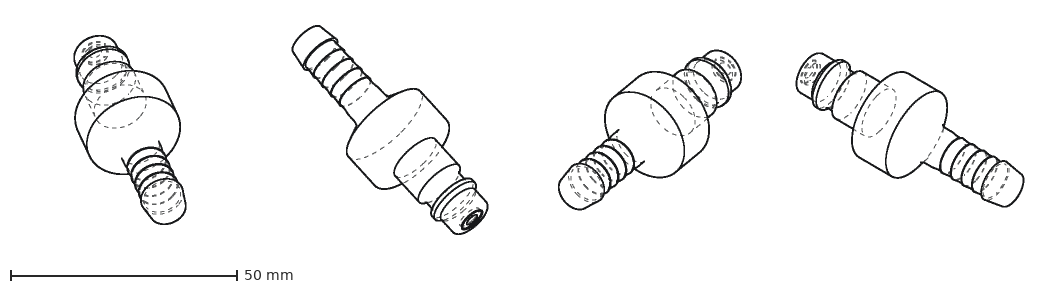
import cadquery as cq
import math

length = 58.0

plug_radius = 10.0 / 2
nose_fillet = 1.0
ridge_radius = 12.0 / 2
ridge_start = 4.95
ridge_top_start = ridge_start + ridge_radius - plug_radius
ridge_top_end = 7.0
neck_radius = 9.75 / 2
shoulder_start = 11.5
cove_width = ridge_radius - neck_radius
cove_radius = 1.5

collar_radius = 21.5 / 2
collar_front = 19.95
collar_face_dish = 0.7
collar_fillet = 1.0
hose_radius = 9.0 / 2
hose_fillet = 3.0
back_cone_angle = math.radians(60)

hose_start = 36.1
barb_start = 38.0
barb_pitch = 3.0
barb_count = 5
barb_taper_length = 1.55
barb_root_radius = 8.5 / 2
tip_radius = 9.75 / 2
tip_end_radius = 8.25 / 2
tip_fillet = 0.3

pin_radius = 5.45 / 2
pin_bore_radius = 5.6 / 2
pin_bore_chamfer_radius = 6.0 / 2
pin_gap_depth = 1.0
dimple_radius = 3.0 / 2
dimple_depth = 0.85

fillet_start = hose_start - hose_fillet * math.sin(back_cone_angle)
fillet_top_radius = hose_radius + hose_fillet * (1 - math.cos(back_cone_angle))
collar_back = fillet_start - (collar_radius - fillet_top_radius) / math.tan(back_cone_angle)
half_angle = back_cone_angle / 2
fillet_middle = (
    hose_start - hose_fillet * math.sin(half_angle),
    hose_radius + hose_fillet * (1 - math.cos(half_angle)),
)


def turned_body():
    """Revolve the half profile, held as (X, radius) points, about the X axis."""
    front_cove_end = ridge_top_end + cove_width
    rear_cove_start = shoulder_start - cove_width
    profile = (
        cq.Workplane("XY")
        .moveTo(0, 0)
        .lineTo(0, plug_radius)
        .lineTo(ridge_start, plug_radius)
        .lineTo(ridge_top_start, ridge_radius)
        .lineTo(ridge_top_end, ridge_radius)
        .radiusArc((front_cove_end, neck_radius), -cove_radius)
        .lineTo(rear_cove_start, neck_radius)
        .radiusArc((shoulder_start, ridge_radius), -cove_radius)
        .lineTo(collar_front, ridge_radius)
        .lineTo(collar_front + collar_face_dish, collar_radius)
        .lineTo(collar_back, collar_radius)
        .lineTo(fillet_start, fillet_top_radius)
        .threePointArc(fillet_middle, (hose_start, hose_radius))
        .lineTo(barb_start, hose_radius)
    )
    for index in range(barb_count):
        crest = barb_start + index * barb_pitch
        next_crest = crest + barb_pitch
        is_last = index == barb_count - 1
        profile = (
            profile.lineTo(crest + barb_taper_length, barb_root_radius)
            .lineTo(next_crest, barb_root_radius)
            .lineTo(next_crest, tip_radius if is_last else hose_radius)
        )
    profile = profile.lineTo(length, tip_end_radius).lineTo(length, 0).close()
    return profile.revolve(360, (0, 0, 0), (1, 0, 0))


def round_edge(body, x, radius, fillet):
    """Fillet the circular edge of the given radius at position x."""
    margin = 0.005
    corner = cq.selectors.BoxSelector(
        (x - margin, -radius - margin, -radius - margin),
        (x + margin, radius + margin, radius + margin),
        boundingbox=True,
    )
    return body.edges(corner).fillet(fillet)


def pin_gap():
    """Narrow ring-shaped gap around the valve pin, with a 45 degree chamfer at its mouth."""
    chamfer = pin_bore_chamfer_radius - pin_bore_radius
    return (
        cq.Workplane("XY")
        .moveTo(0, pin_radius)
        .lineTo(0, pin_bore_chamfer_radius)
        .lineTo(chamfer, pin_bore_radius)
        .lineTo(pin_gap_depth, pin_bore_radius)
        .lineTo(pin_gap_depth, pin_radius)
        .close()
        .revolve(360, (0, 0, 0), (1, 0, 0))
    )


def dimple():
    """Conical centre dimple in the valve pin."""
    return (
        cq.Workplane("XY")
        .polyline([(0, 0), (0, dimple_radius), (dimple_depth, 0)])
        .close()
        .revolve(360, (0, 0, 0), (1, 0, 0))
    )


body = turned_body()
body = round_edge(body, 0, plug_radius, nose_fillet)
body = round_edge(body, collar_front + collar_face_dish, collar_radius, collar_fillet)
body = round_edge(body, length, tip_end_radius, tip_fillet)
result = body.cut(pin_gap()).cut(dimple())